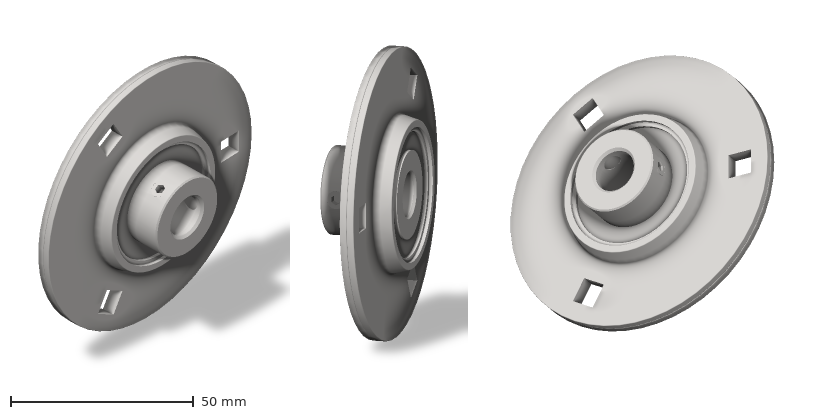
import cadquery as cq
import math


flange_radius = 40.5
flange_thickness = 4.0
flange_edge_fillet = 0.2
housing_width = 14.0
boss_root_radius = 22.0
boss_draft_angle = 15.0
boss_root_fillet = 0.53
boss_rim_fillet = 0.25
seat_radius = 18.7

bolt_circle_radius = 31.75
bolt_hole_side = 7.1
bolt_hole_count = 3

outer_ring_width = 12.0
outer_ring_inner_radius = 17.5
seal_recess = 1.0
hub_radius = 12.3
overall_length = 23.0
hub_chamfer = 0.4
bore_radius = 6.0
bore_chamfer = 0.7

screw_radius = 2.5
screw_position = 11.5
screw_head_distance = 12.2
socket_sides = 6
socket_across_flats = 2.5
socket_depth = 2.5
screw_angles = [0.0, 120.0]

plate_thickness = flange_thickness / 2
housing_half_width = housing_width / 2
outer_ring_half_width = outer_ring_width / 2
hub_end = overall_length - housing_half_width
boss_length = housing_half_width - plate_thickness
boss_rim_radius = boss_root_radius - boss_length * math.tan(math.radians(boss_draft_angle))
seal_half_width = outer_ring_half_width - seal_recess
socket_corner_diameter = socket_across_flats / math.cos(math.pi / socket_sides)


def revolve_about_x(profile):
    """Turn a closed X-radius profile into a solid of revolution about X."""
    return profile.close().revolve(360, (0, 0, 0), (1, 0, 0))


def bolt_holes():
    """Square prisms spaced round the bolt circle, the first one on +Y."""
    return (
        cq.Workplane("YZ")
        .polarArray(bolt_circle_radius, 0, 360, bolt_hole_count)
        .rect(bolt_hole_side, bolt_hole_side)
        .extrude(plate_thickness)
    )


def round_edges(body, radius, fillet):
    """Fillet every circular edge of the given radius."""
    edges = body.edges("%CIRCLE").filter(lambda edge: math.isclose(edge.radius(), radius))
    return edges.fillet(fillet)


def flange_plate():
    """The +X plate: a disc and a tapered boss round half of the bearing seat."""
    profile = (
        cq.Workplane("XY")
        .moveTo(0, seat_radius)
        .lineTo(0, flange_radius)
        .lineTo(plate_thickness, flange_radius)
        .lineTo(plate_thickness, boss_root_radius)
        .lineTo(housing_half_width, boss_rim_radius)
        .lineTo(housing_half_width, seat_radius)
    )
    plate = revolve_about_x(profile)
    plate = round_edges(plate, flange_radius, flange_edge_fillet)
    plate = round_edges(plate, boss_root_radius, boss_root_fillet)
    plate = round_edges(plate, boss_rim_radius, boss_rim_fillet)
    return plate.cut(bolt_holes())


def radial_tool(shape, angle):
    """Place a shape built along +Y at the screw position and turn it about X."""
    return shape.translate((screw_position, 0, 0)).rotate((0, 0, 0), (1, 0, 0), angle)


def bearing_insert():
    """Outer ring, recessed seals and extended hub as one turned body."""
    profile = (
        cq.Workplane("XY")
        .moveTo(-outer_ring_half_width, bore_radius + bore_chamfer)
        .lineTo(-outer_ring_half_width, hub_radius)
        .lineTo(-seal_half_width, hub_radius)
        .lineTo(-seal_half_width, outer_ring_inner_radius)
        .lineTo(-outer_ring_half_width, outer_ring_inner_radius)
        .lineTo(-outer_ring_half_width, seat_radius)
        .lineTo(outer_ring_half_width, seat_radius)
        .lineTo(outer_ring_half_width, outer_ring_inner_radius)
        .lineTo(seal_half_width, outer_ring_inner_radius)
        .lineTo(seal_half_width, hub_radius)
        .lineTo(hub_end - hub_chamfer, hub_radius)
        .lineTo(hub_end, hub_radius - hub_chamfer)
        .lineTo(hub_end, bore_radius + bore_chamfer)
        .lineTo(hub_end - bore_chamfer, bore_radius)
        .lineTo(bore_chamfer - outer_ring_half_width, bore_radius)
    )
    insert = revolve_about_x(profile)
    screw_hole = cq.Workplane("XZ").circle(screw_radius).extrude(-hub_radius)
    for angle in screw_angles:
        insert = insert.cut(radial_tool(screw_hole, angle))
    return insert


def set_screw(angle):
    """Flat-ended screw with a hexagon socket, reaching in to the bore."""
    screw = (
        cq.Workplane("XZ", origin=(0, bore_radius, 0))
        .circle(screw_radius)
        .extrude(bore_radius - screw_head_distance)
    )
    socket = (
        cq.Workplane("XZ", origin=(0, screw_head_distance, 0))
        .polygon(socket_sides, socket_corner_diameter)
        .extrude(socket_depth)
        .rotate((0, 0, 0), (0, 1, 0), 180 / socket_sides)
    )
    return radial_tool(screw.cut(socket), angle)


right_flange = flange_plate()
left_flange = right_flange.mirror("YZ")
insert = bearing_insert()
set_screws = [set_screw(angle) for angle in screw_angles]

result = cq.Compound.makeCompound(
    [
        left_flange.val(),
        right_flange.val(),
        insert.val(),
        *[screw.val() for screw in set_screws],
    ]
)